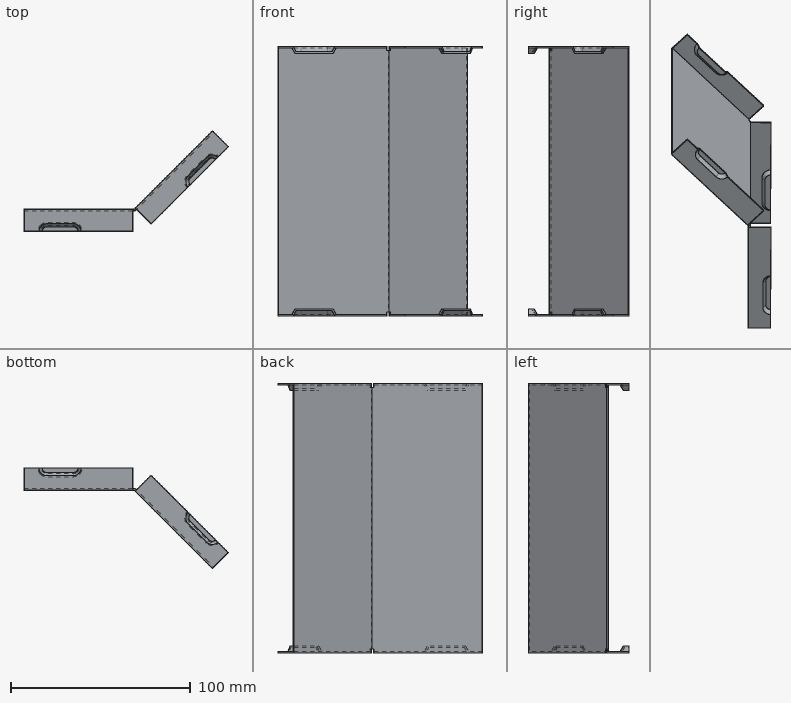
import cadquery as cq
import math

height = 150.0
thickness = 1.0
first_length = 61.2
second_length = 61.5
flange_depth = 12.5
fold_setback = 0.8
fold_angle = 45.0
relief_height = 2.2

recess_depth = 3.0
recess_radius = 4.4
recess_taper = 30.0
recess_centre_spacing = 14.7
recess_from_free_end = 20.0

taper_run = math.tan(math.radians(recess_taper))
wall_offset = thickness / math.cos(math.radians(recess_taper))


def recess_body(panel_length, top_radius, depth):
    """Tapered slot hanging from the top face, with its axis along the flange's front edge."""
    bottom_radius = top_radius - depth * taper_run
    centre_x = panel_length - recess_from_free_end
    half_spacing = recess_centre_spacing / 2
    body = (
        cq.Workplane("XZ", origin=(centre_x, -flange_depth, height / 2))
        .polyline([(-top_radius, 0), (top_radius, 0), (bottom_radius, -depth), (-bottom_radius, -depth)])
        .close()
        .extrude(half_spacing, both=True)
        .rotate((centre_x, -flange_depth, 0), (centre_x, -flange_depth, 1), 90)
    )
    for side in (-1, 1):
        cone = cq.Solid.makeCone(
            top_radius,
            bottom_radius,
            depth,
            pnt=cq.Vector(centre_x + side * half_spacing, -flange_depth, height / 2),
            dir=cq.Vector(0, 0, -1),
        )
        body = body.union(cq.Workplane(obj=cone))
    return body


def block_from(start_x, end_x, depth, block_height):
    """Block spanning start_x to end_x, with its back on Y = 0 and centred on Z = 0."""
    block = cq.Workplane("XY").box(end_x - start_x, depth, block_height, centered=(False, False, True))
    return block.translate((start_x, -depth, 0))


def make_panel(panel_length):
    """Panel with its fold line on the Z axis, its back on Y = 0 and its flanges pointing to -Y."""
    envelope = block_from(fold_setback, panel_length, flange_depth, height)
    cavity = block_from(fold_setback, panel_length, flange_depth, height - 2 * thickness)
    panel = envelope.cut(cavity.translate((0, -thickness, 0)))

    shell = recess_body(panel_length, recess_radius + wall_offset, recess_depth + thickness)
    shell = shell.intersect(envelope)
    pocket = recess_body(panel_length, recess_radius, recess_depth)
    for mirrored in (False, True):
        added = shell.mirror("XY") if mirrored else shell
        removed = pocket.mirror("XY") if mirrored else pocket
        panel = panel.union(added).cut(removed)
    return panel


def make_fold():
    """Mitred strip joining the two webs, with a sharp corner on both faces."""
    turn = math.radians(fold_angle)
    mitre_run = thickness * math.tan(turn / 2)
    along_second = (math.cos(turn), math.sin(turn))
    second_back = (fold_setback * along_second[0], fold_setback * along_second[1])
    second_front = (
        second_back[0] + thickness * along_second[1],
        second_back[1] - thickness * along_second[0],
    )
    outline = [
        (-fold_setback, 0),
        (0, 0),
        second_back,
        second_front,
        (mitre_run, -thickness),
        (-fold_setback, -thickness),
    ]
    strip_height = height - 2 * relief_height
    return cq.Workplane("XY").polyline(outline).close().extrude(strip_height / 2, both=True)


first_panel = make_panel(first_length).mirror("YZ")
second_panel = make_panel(second_length).rotate((0, 0, 0), (0, 0, 1), fold_angle)

result = first_panel.union(make_fold()).union(second_panel).clean()